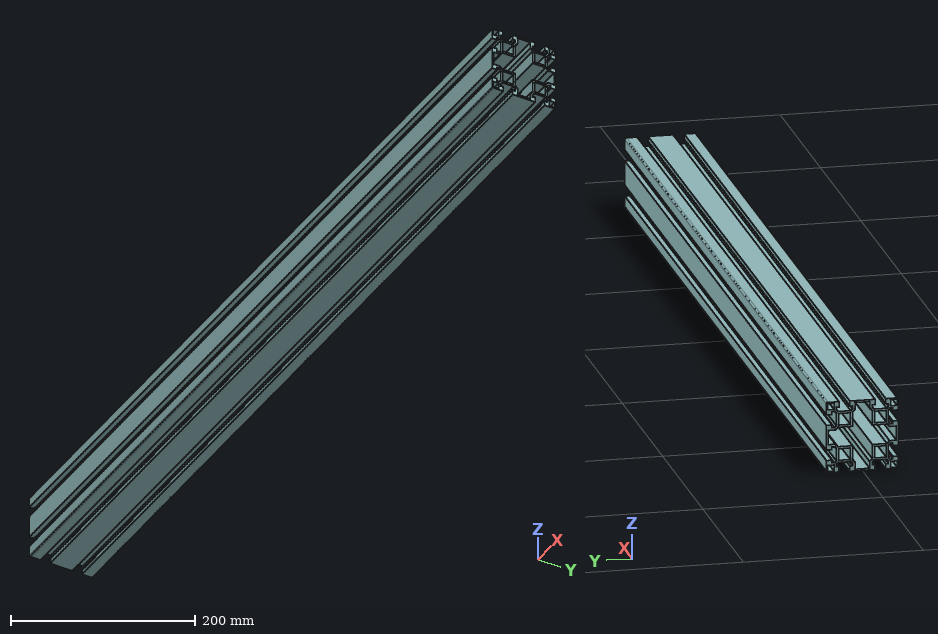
import cadquery as cq
import math

length = 1000.0
side = 80.0
half_side = side / 2
slot_center = 20.0

slot_opening = 12.0
slot_inner_width = 18.0
slot_chamfer = 2.0
slot_depth = 11.0
lip_thickness = 6.1

core_hole = 13.0
core_wall = 2.5

face_wall = 2.2
cavity_mouth_half = 8.0
web_wall = 2.7

corner_hole = 7.0
corner_wall = 1.5
corner_radius = 2.0

core_side = slot_center - core_hole / 2 - core_wall
slot_floor = half_side - slot_depth
lip_bottom = half_side - lip_thickness
corner_hole_center = half_side - corner_wall - corner_hole / 2

slot_chamfer_line = slot_center - slot_inner_width / 2 + slot_floor + slot_chamfer
web_line = slot_chamfer_line - web_wall * math.sqrt(2)


def square_rod(width, y, z):
    """Full-length square bar centred at (y, z)."""
    return cq.Workplane("XY").box(length, width, width).translate((0, y, z))


def prism(points):
    """Full-length prism with the given (y, z) outline."""
    return cq.Workplane("YZ").polyline(points).close().extrude(length / 2, both=True)


def mirrored(points):
    """Outline made of the given points and their mirror images across Y = 0."""
    return points + [(-y, z) for y, z in reversed(points)]


def t_slot(center):
    """T-slot in the top face, with chamfered floor corners."""
    outline = mirrored([
        (slot_inner_width / 2 - slot_chamfer, slot_floor),
        (slot_inner_width / 2, slot_floor + slot_chamfer),
        (slot_inner_width / 2, lip_bottom),
        (slot_opening / 2, lip_bottom),
        (slot_opening / 2, half_side),
    ])
    return prism([(center + y, z) for y, z in outline])


def cavity_arm():
    """Arm of the central cavity that reaches up between two cores to the top wall."""
    return prism(mirrored([
        (core_side, 0),
        (core_side, web_line - core_side),
        (cavity_mouth_half, web_line - cavity_mouth_half),
        (cavity_mouth_half, half_side - face_wall),
    ]))


def quarter_cuts():
    """Everything cut from the top side, plus one core hollow and one corner hollow."""
    cuts = cavity_arm()
    for direction in (-1, 1):
        cuts = cuts.union(t_slot(direction * slot_center))
    cuts = cuts.union(square_rod(core_hole, slot_center, slot_center))
    return cuts.union(square_rod(corner_hole, corner_hole_center, corner_hole_center))


result = cq.Workplane("XY").box(length, side, side).edges("|X").fillet(corner_radius)
for quarter in range(4):
    result = result.cut(quarter_cuts().rotate((0, 0, 0), (1, 0, 0), 90 * quarter))